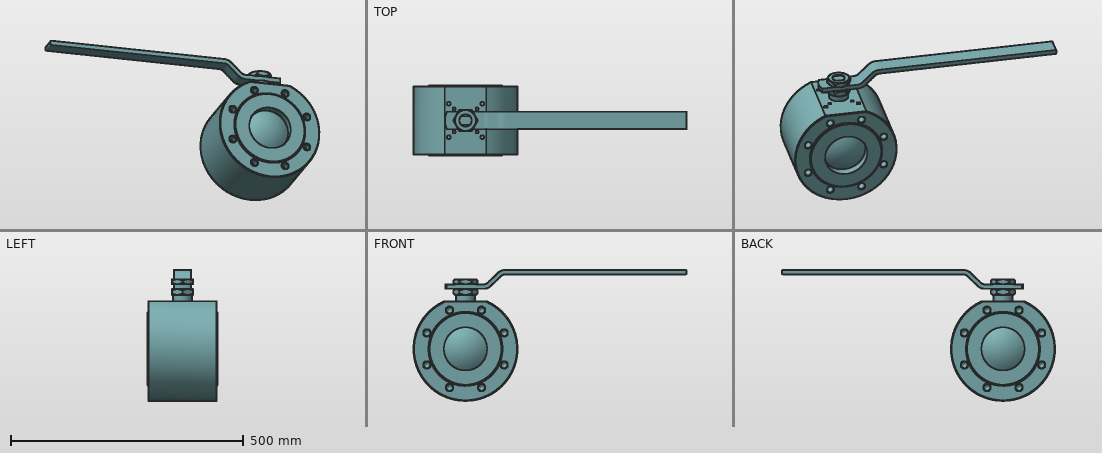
import cadquery as cq
import math


body_radius = 112.5
body_width = 148.0
body_chamfer = 2.0
flat_height = 103.0

seal_root_diameter = 160.0
seal_face_diameter = 154.0
seal_width = 152.0
bore_diameter = 93.0
ball_radius = 73.0

bolt_circle = 180.0
bolt_count = 8
bolt_hole_diameter = 14.0
bolt_countersink_diameter = 16.5
bolt_hole_depth = 23.5

drill_tip_angle = 118.0
flat_bottom_angle = 180.0
mounting_patterns = [
    (70.0, 6.5, 9.5, drill_tip_angle),
    (102.0, 8.0, 12.0, flat_bottom_angle),
]
mounting_count = 4

collar_diameter = 42.0
stem_diameter = 26.5
stem_across_flats = 18.0
stem_tip_recess = 1.0
nut_sides = 6
nut_across_flats = 46.0
nut_face_diameter = 44.5
nut_chamfer_angle = 42.0
lower_nut_bottom = 116.0
lower_nut_height = 13.0
upper_nut_height = 11.0

lever_thickness = 10.0
lever_width = 37.5
lever_top = 170.0
lever_end_x = 475.5
lever_heel_radius = 44.0
lever_bend_start = 38.0
lever_bend_angle = 44.0
lever_inner_radius = 14.0
lever_end_fillet = 3.0

lever_upper_bottom = lever_top - lever_thickness
lever_lower_bottom = lower_nut_bottom + lower_nut_height
lever_lower_top = lever_lower_bottom + lever_thickness


def cylinder_along_y(diameter, width):
    """Cylinder on the flow axis, centred on the origin."""
    return cq.Workplane("XZ").circle(diameter / 2).extrude(width / 2, both=True)


def drilled_hole(diameter, depth, tip_angle):
    """Cutter for a blind hole going down from the origin, ending in a drill tip or flat."""
    hole = cq.Workplane("XY").circle(diameter / 2).extrude(-depth)
    if tip_angle < flat_bottom_angle:
        tip_depth = diameter / 2 / math.tan(math.radians(tip_angle / 2))
        tip = cq.Solid.makeCone(diameter / 2, 0, tip_depth, cq.Vector(0, 0, -depth), cq.Vector(0, 0, -1))
        hole = hole.union(cq.Workplane(obj=tip))
    return hole


def countersink(outer_diameter, inner_diameter):
    """Cutter for a 90 degree countersink going down from the origin."""
    depth = (outer_diameter - inner_diameter) / 2
    cone = cq.Solid.makeCone(
        outer_diameter / 2, inner_diameter / 2, depth, cq.Vector(0, 0, 0), cq.Vector(0, 0, -1)
    )
    return cq.Workplane(obj=cone)


def make_seals():
    """Core of the body whose two ends are the raised sealing faces with conical rims."""
    return (
        cq.Workplane("XY")
        .polyline([
            (0, -seal_width / 2),
            (seal_face_diameter / 2, -seal_width / 2),
            (seal_root_diameter / 2, -body_width / 2),
            (seal_root_diameter / 2, body_width / 2),
            (seal_face_diameter / 2, seal_width / 2),
            (0, seal_width / 2),
        ])
        .close()
        .revolve(360, (0, 0), (0, 1))
    )


def make_body():
    """Round body with a flat top, raised sealing faces and a bore that ends at the closed ball."""
    body = cylinder_along_y(2 * body_radius, body_width)
    above_flat = (
        cq.Workplane("XY")
        .workplane(offset=flat_height)
        .rect(2 * body_radius, body_width)
        .extrude(body_radius)
    )
    body = body.cut(above_flat).faces("<Y or >Y").edges().chamfer(body_chamfer)
    ball = cq.Workplane("XY").sphere(ball_radius)
    bore = cylinder_along_y(bore_diameter, seal_width).cut(ball)
    return body.union(make_seals()).cut(bore)


def cut_bolt_holes(body):
    """Ring of blind countersunk holes in both flange faces, straddling the stem axis."""
    hole = drilled_hole(bolt_hole_diameter, bolt_hole_depth, drill_tip_angle).union(
        countersink(bolt_countersink_diameter, bolt_hole_diameter)
    )
    step = 360 / bolt_count
    for tilt, face_y in ((90, -body_width / 2), (-90, body_width / 2)):
        level = hole.rotate((0, 0, 0), (1, 0, 0), tilt)
        first = level.translate((bolt_circle / 2, face_y, 0))
        for index in range(bolt_count):
            body = body.cut(first.rotate((0, 0, 0), (0, 1, 0), (index + 0.5) * step))
    return body


def cut_mounting_holes(body):
    """Two square patterns of blind holes in the flat top, around the stem."""
    step = 360 / mounting_count
    for circle, diameter, depth, tip_angle in mounting_patterns:
        first = drilled_hole(diameter, depth, tip_angle).translate((circle / 2, 0, flat_height))
        for index in range(mounting_count):
            body = body.cut(first.rotate((0, 0, 0), (0, 0, 1), (index + 0.5) * step))
    return body


def make_nut(bottom, height):
    """Hexagon nut with corners along X, chamfered conically at both ends."""
    across_corners = nut_across_flats / math.cos(math.radians(180 / nut_sides))
    face_radius = nut_face_diameter / 2
    corner_radius = across_corners / 2
    drop = (corner_radius - face_radius) * math.tan(math.radians(nut_chamfer_angle))
    hexagon = cq.Workplane("XY").polygon(nut_sides, across_corners).extrude(height)
    envelope = (
        cq.Workplane("XZ")
        .polyline([
            (0, 0),
            (face_radius, 0),
            (corner_radius, drop),
            (corner_radius, height - drop),
            (face_radius, height),
            (0, height),
        ])
        .close()
        .revolve(360, (0, 0), (0, 1))
    )
    return hexagon.intersect(envelope).translate((0, 0, bottom))


def make_lever():
    """Flat bar cranked upwards by two opposite bends, with a heel rounded about the stem axis."""
    angle = math.radians(lever_bend_angle)
    outer_radius = lever_inner_radius + lever_thickness
    rise = lever_top - lever_lower_top
    slope_rise = rise - (lever_inner_radius + outer_radius) * (1 - math.cos(angle))
    slope_run = slope_rise / math.tan(angle)
    bends_run = (lever_inner_radius + outer_radius) * math.sin(angle)
    upper_bend_end = lever_bend_start + bends_run + slope_run
    lower_centre = (lever_bend_start, lever_lower_top + lever_inner_radius)
    upper_centre = (upper_bend_end, lever_upper_bottom - lever_inner_radius)

    def on_lower_bend(radius, turn):
        return lower_centre[0] + radius * math.sin(turn), lower_centre[1] - radius * math.cos(turn)

    def on_upper_bend(radius, turn):
        return upper_centre[0] - radius * math.sin(turn), upper_centre[1] + radius * math.cos(turn)

    bar = (
        cq.Workplane("XZ")
        .moveTo(-lever_heel_radius, lever_lower_top)
        .lineTo(*on_lower_bend(lever_inner_radius, 0))
        .threePointArc(on_lower_bend(lever_inner_radius, angle / 2), on_lower_bend(lever_inner_radius, angle))
        .lineTo(*on_upper_bend(outer_radius, angle))
        .threePointArc(on_upper_bend(outer_radius, angle / 2), on_upper_bend(outer_radius, 0))
        .lineTo(lever_end_x, lever_top)
        .lineTo(lever_end_x, lever_upper_bottom)
        .lineTo(*on_upper_bend(lever_inner_radius, 0))
        .threePointArc(on_upper_bend(lever_inner_radius, angle / 2), on_upper_bend(lever_inner_radius, angle))
        .lineTo(*on_lower_bend(outer_radius, angle))
        .threePointArc(on_lower_bend(outer_radius, angle / 2), on_lower_bend(outer_radius, 0))
        .lineTo(-lever_heel_radius, lever_lower_bottom)
        .close()
        .extrude(lever_width / 2, both=True)
        .faces(">X")
        .edges("|Y")
        .fillet(lever_end_fillet)
    )
    heel = cq.Workplane("XY").circle(lever_heel_radius).extrude(lever_top)
    handle_side = cq.Workplane("XY").box(
        lever_end_x, lever_width, lever_top, centered=(False, True, False)
    )
    return bar.intersect(heel.union(handle_side))


def make_stem():
    """Stem collar on the flat top, with the nuts below and above the lever."""
    collar_height = lower_nut_bottom - flat_height
    flat_top = cq.Workplane("XY").workplane(offset=flat_height)
    collar = flat_top.circle(collar_diameter / 2).extrude(collar_height)
    nuts = make_nut(lower_nut_bottom, lower_nut_height).union(make_nut(lever_lower_top, upper_nut_height))
    return collar.union(nuts)


def cut_stem_flats(valve):
    """Open the upper nut's bore around the flatted stem tip, which ends below the nut's top."""
    tip = cq.Workplane("XY").workplane(offset=lever_lower_top)
    nut_bore = tip.circle(stem_diameter / 2).extrude(upper_nut_height)
    flatted_stem = tip.rect(stem_diameter, stem_across_flats).extrude(upper_nut_height - stem_tip_recess)
    return valve.cut(nut_bore.cut(flatted_stem))


body = cut_mounting_holes(cut_bolt_holes(make_body()))
result = cut_stem_flats(body.union(make_stem()).union(make_lever()))